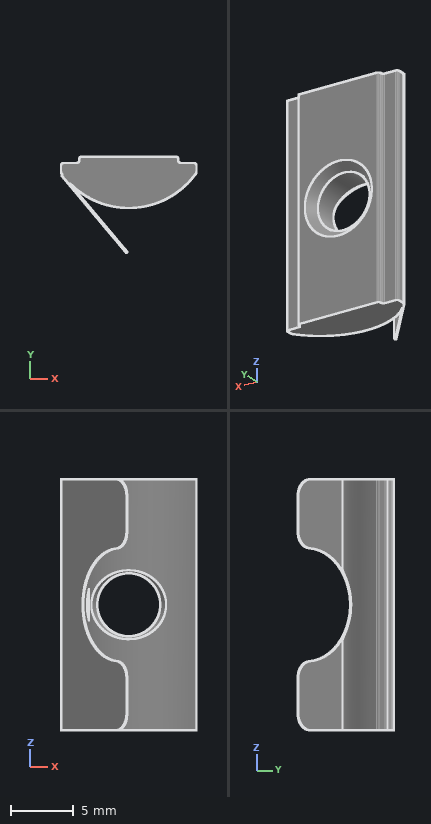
import cadquery as cq
import math

length = 20.0
width = 10.8
body_depth = 4.1
front_radius = 6.6
rib_width = 7.9
rib_height = 0.5
edge_radius = 0.2
side_radius = 0.4

hole_diameter = 5.0
mouth_offset = 0.25
mouth_depth = 0.5
back_chamfer = 0.75

leaf_angle = 50.0
leaf_thickness = 0.1
leaf_overlap = 0.02
leaf_root = 0.35
leaf_tip = 7.66
leaf_corner_radius = 1.3

clearance_radius = 4.5
clearance_setback = 0.94
clearance_depth = 0.53

mouth_samples = 36
mouth_inner_y = -2.8
mouth_outer_y = -body_depth - 0.1

half_width = width / 2
front_center_y = front_radius - body_depth


def make_body():
    """Extrude the stepped, round-fronted section and round its long edges."""
    half_rib = rib_width / 2
    corner_y = front_center_y - math.sqrt(front_radius**2 - half_width**2)
    body = (
        cq.Workplane("XY", origin=(0, 0, -length / 2))
        .moveTo(-half_rib, 0)
        .lineTo(half_rib, 0)
        .lineTo(half_rib, -rib_height)
        .lineTo(half_width, -rib_height)
        .lineTo(half_width, corner_y)
        .threePointArc((0, -body_depth), (-half_width, corner_y))
        .lineTo(-half_width, -rib_height)
        .lineTo(-half_rib, -rib_height)
        .close()
        .extrude(length)
    )
    back_edges = cq.selectors.BoxSelector(
        (-width, -rib_height - edge_radius, -length),
        (width, edge_radius, length),
    )
    front_edges = cq.selectors.BoxSelector(
        (-width, corner_y - edge_radius, -length),
        (width, corner_y + edge_radius, length),
    )
    body = body.edges("|Z").edges(back_edges).fillet(edge_radius)
    return body.edges("|Z").edges(front_edges).fillet(side_radius)


def mouth_point(angle, y):
    """Point at depth y on the straight chamfer line that crosses the hole edge at this angle."""
    hole_radius = hole_diameter / 2
    inner_front_radius = front_radius - mouth_depth
    offset_radius = hole_radius + mouth_offset
    cos_angle = math.cos(angle)
    sin_angle = math.sin(angle)
    offset_x = offset_radius * cos_angle
    offset_y = front_center_y - math.sqrt(inner_front_radius**2 - offset_x**2)
    wall_foot = (hole_radius * cos_angle, offset_y, hole_radius * sin_angle)
    growth = front_radius / inner_front_radius
    front_foot_y = front_center_y + (offset_y - front_center_y) * growth
    front_foot = (offset_x * growth, front_foot_y, offset_radius * sin_angle)
    step = (y - wall_foot[1]) / (front_foot[1] - wall_foot[1])
    x = wall_foot[0] + step * (front_foot[0] - wall_foot[0])
    z = wall_foot[2] + step * (front_foot[2] - wall_foot[2])
    return cq.Vector(x, y, z)


def mouth_wire(y):
    """Closed outline of the chamfer cutter at depth y."""
    turn = 2 * math.pi / mouth_samples
    points = [mouth_point(turn * index, y) for index in range(mouth_samples)]
    return cq.Wire.assembleEdges([cq.Edge.makeSpline(points, periodic=True)])


def cut_hole(body):
    """Drill the hole along Y, with a cone at the back and an even chamfer at the round front."""
    hole_radius = hole_diameter / 2
    drill = cq.Workplane("XZ").circle(hole_radius).extrude(body_depth)
    cone = cq.Solid.makeCone(
        hole_radius + back_chamfer,
        hole_radius,
        back_chamfer,
        pnt=cq.Vector(0, 0, 0),
        dir=cq.Vector(0, -1, 0),
    )
    mouth = cq.Solid.makeLoft([mouth_wire(mouth_inner_y), mouth_wire(mouth_outer_y)], True)
    return body.cut(drill).cut(cq.Workplane(cone)).cut(cq.Workplane(mouth))


def leaf_workplane():
    """Plane of the leaf's inner face: x towards the tip, y along Z, normal outwards."""
    angle = math.radians(leaf_angle)
    normal = (-math.sin(angle), -math.cos(angle), 0)
    reach = front_radius - leaf_overlap
    origin = (reach * normal[0], front_center_y + reach * normal[1], 0)
    tip_direction = (math.cos(angle), -math.sin(angle), 0)
    return cq.Workplane(cq.Plane(origin=origin, xDir=tip_direction, normal=normal))


def make_clearance(depth):
    """Round cutter reaching the given depth below the leaf's outer face and as far above it."""
    return (
        leaf_workplane()
        .workplane(offset=leaf_thickness - depth)
        .center(leaf_tip - clearance_setback, 0)
        .circle(clearance_radius)
        .extrude(2 * depth)
    )


def make_leaf():
    """Thin sheet with a round bite at its tip and rounded tip corners."""
    sheet = (
        leaf_workplane()
        .center((leaf_tip - leaf_root) / 2, 0)
        .rect(leaf_root + leaf_tip, length)
        .extrude(leaf_thickness)
        .cut(make_clearance(clearance_depth))
    )
    tip_x = sheet.val().BoundingBox().xmax
    tip_edges = cq.selectors.BoxSelector(
        (tip_x - 2 * leaf_thickness, -width, -length),
        (tip_x + leaf_thickness, width, length),
    )
    return sheet.edges(tip_edges).edges("not(|Z)").fillet(leaf_corner_radius)


body = cut_hole(make_body()).cut(make_clearance(clearance_depth))
result = body.union(make_leaf())